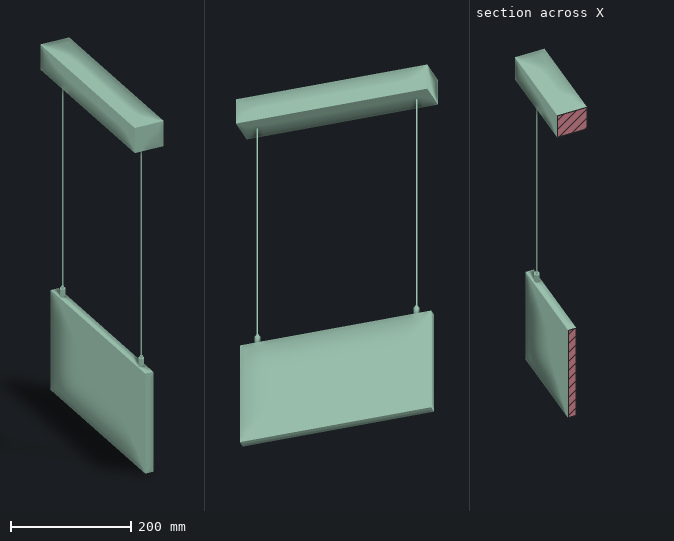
import cadquery as cq

total_height = 653.5
width = 337.0

canopy_depth = 54.0
canopy_height = 47.0

panel_depth = 15.0
panel_height = 187.5

wire_spacing = 280.5
wire_diameter = 2.5
grip_diameter = 10.0
grip_height = 15.0
grip_tip_diameter = 5.0
grip_tip_height = 4.0

canopy_bottom = total_height - canopy_height


def block(depth, height, bottom):
    """Full-width box standing on the given level."""
    return (
        cq.Workplane("XY", origin=(0, 0, bottom))
        .box(width, depth, height, centered=(True, True, False))
    )


def rod(x, diameter, bottom, top):
    """Vertical cylinder between two levels."""
    return (
        cq.Workplane("XY", origin=(x, 0, bottom))
        .circle(diameter / 2)
        .extrude(top - bottom)
    )


def suspension(x):
    """Grip on the panel's top edge, its narrower tip, and the wire up to the canopy."""
    grip_top = panel_height + grip_height
    tip_top = grip_top + grip_tip_height
    grip = rod(x, grip_diameter, panel_height, grip_top)
    tip = rod(x, grip_tip_diameter, grip_top, tip_top)
    wire = rod(x, wire_diameter, tip_top, canopy_bottom)
    return grip.union(tip).union(wire)


canopy = block(canopy_depth, canopy_height, canopy_bottom)
panel = block(panel_depth, panel_height, 0)

result = canopy.union(panel)
for side in (-1, 1):
    result = result.union(suspension(side * wire_spacing / 2))